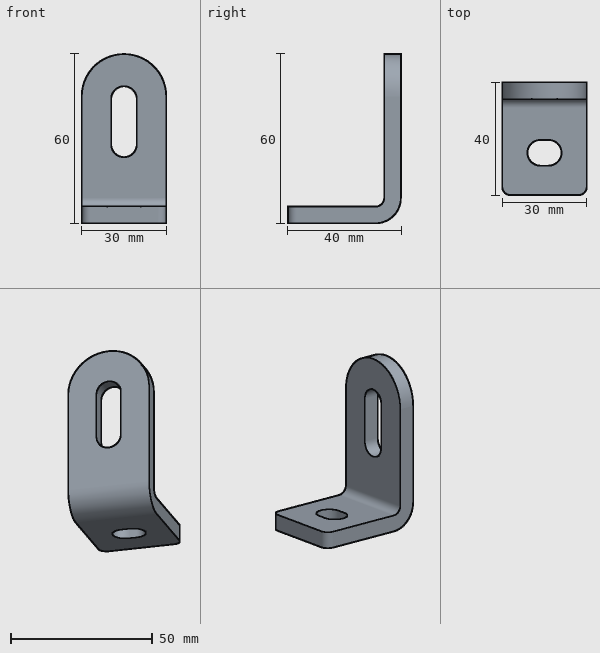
import cadquery as cq

width = 30.0
depth = 40.0
height = 60.0
thickness = 6.0

inner_bend_radius = 3.0
outer_bend_radius = inner_bend_radius + thickness
toe_corner_radius = 3.0
top_radius = width / 2

slot_width = 9.0
wall_slot_length = 25.0
wall_slot_height = 36.0
foot_slot_length = 12.0
foot_slot_from_toe = 15.0


def bent_strip():
    """L-shaped strip: foot on Z = 0 with its toe at Y = 0, wall at the +Y end."""
    strip = (
        cq.Workplane("YZ")
        .polyline([
            (0, 0),
            (depth, 0),
            (depth, height),
            (depth - thickness, height),
            (depth - thickness, thickness),
            (0, thickness),
        ])
        .close()
        .extrude(width / 2, both=True)
    )
    inner_corner = cq.selectors.NearestToPointSelector((0, depth - thickness, thickness))
    strip = strip.edges("|X").edges(inner_corner).fillet(inner_bend_radius)
    return strip.edges("|X and >Y and <Z").fillet(outer_bend_radius)


def round_ends(strip):
    """Round the toe corners and give the wall a full semicircular top."""
    strip = strip.faces("<Y").edges("|Z").fillet(toe_corner_radius)
    arc_start_height = height - top_radius
    wall_outline = (
        cq.Workplane("XZ")
        .moveTo(-width / 2, 0)
        .lineTo(width / 2, 0)
        .lineTo(width / 2, arc_start_height)
        .threePointArc((0, height), (-width / 2, arc_start_height))
        .close()
        .extrude(-depth)
    )
    return strip.intersect(wall_outline)


def wall_slot():
    """Upright slot cutter through the wall."""
    return (
        cq.Workplane("XZ", origin=(0, depth - thickness, 0))
        .center(0, wall_slot_height)
        .slot2D(wall_slot_length, slot_width, 90)
        .extrude(-thickness)
    )


def foot_slot():
    """Slot cutter through the foot, running along the width."""
    return (
        cq.Workplane("XY")
        .center(0, foot_slot_from_toe)
        .slot2D(foot_slot_length, slot_width)
        .extrude(thickness)
    )


result = round_ends(bent_strip()).cut(wall_slot()).cut(foot_slot())